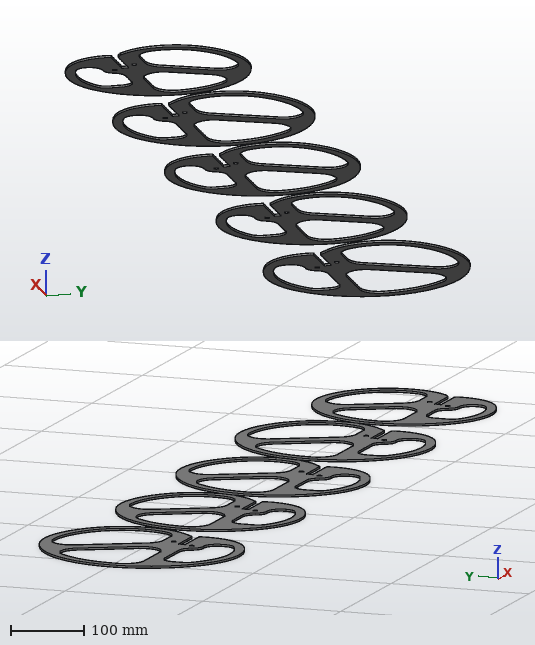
import cadquery as cq
import math

THICKNESS = 3.0
RIM_WIDTH = 14.0
CORNER_RADIUS = 28.0
BELLY_CORNER_RADIUS = 19.0

SLOT_WIDTH = 9.4
SLOT_INNER_X = -4.0
HOLE_DIAMETER = 6.4
HOLE_X = 9.0
HOLE_Y = 16.0
BOSS_RADIUS = 16.0

ARM_WIDTH = 20.0
SPOKE_WIDTH = 23.0
SPOKE_ANGLE = 117.3
CROWN_FLOOR_Y = 33.0
BELLY_RIGHT_X = 14.0

LIP_X = 53.0
LIP_Y = -9.0
MOUTH_X = 50.0
ARC_NORMALS = [5, -60, -130, -250, -320, -400]

CAMS = [
    {"pivot": (-459.0, -45.0), "radii": (78.0, 113.0, 149.0, 122.0, 98.0), "belly_left": -118.0},
    {"pivot": (-207.0, -45.0), "radii": (73.0, 108.0, 137.0, 115.0, 89.0), "belly_left": -99.0},
    {"pivot": (44.0, -46.0), "radii": (74.0, 109.0, 140.0, 118.0, 91.0), "belly_left": -104.0},
    {"pivot": (301.0, -46.0), "radii": (75.0, 112.0, 145.0, 120.0, 95.0), "belly_left": -112.0},
    {"pivot": (545.0, -49.0), "radii": (70.0, 105.0, 133.0, 110.0, 91.0), "belly_left": -91.0},
]

REACH = 251.0


def point_from(origin, radius, angle):
    """Point at a distance and a direction in degrees from an origin."""
    turn = math.radians(angle)
    return (origin[0] + radius * math.cos(turn), origin[1] + radius * math.sin(turn))


def cam_outline(radii):
    """Closed spiral outline, without the slot."""
    start = (LIP_X, LIP_Y)
    outline = cq.Workplane("XY").moveTo(*start)
    for radius, first, last in zip(radii, ARC_NORMALS[:-1], ARC_NORMALS[1:]):
        centre = point_from(start, -radius, first)
        middle = point_from(centre, radius, (first + last) / 2)
        start = point_from(centre, radius, last)
        outline = outline.threePointArc(middle, start)
    return outline.lineTo(MOUTH_X, SLOT_WIDTH / 2).close()


def slab(points):
    """Plate-thick polygon."""
    return cq.Workplane("XY").polyline(points).close().extrude(THICKNESS)


def round_corners(window, radius):
    """Round a window's outward corners by shrinking and regrowing its outline."""
    shrunk = window.faces("<Z").wires().toPending().offset2D(-radius)
    regrown = cq.Workplane("XY").newObject(shrunk.vals()).toPending().offset2D(radius)
    return regrown.extrude(THICKNESS)


def spoke_side_x(y, side):
    """X of the spoke's right (+1) or left (-1) edge at a height above the pivot."""
    slope = math.radians(SPOKE_ANGLE)
    return y / math.tan(slope) + side * SPOKE_WIDTH / 2 / math.sin(slope)


def crown_window(inside):
    """Window to the right of the spoke, above the slot."""
    area = slab([
        (spoke_side_x(CROWN_FLOOR_Y, 1), CROWN_FLOOR_Y),
        (REACH, CROWN_FLOOR_Y),
        (REACH, REACH),
        (spoke_side_x(REACH, 1), REACH),
    ])
    return round_corners(inside.intersect(area), CORNER_RADIUS)


def back_window(inside):
    """Window between the spoke and the arm."""
    floor_y = ARM_WIDTH / 2
    area = slab([
        (spoke_side_x(floor_y, -1), floor_y),
        (spoke_side_x(REACH, -1), REACH),
        (-REACH, REACH),
        (-REACH, floor_y),
    ])
    return round_corners(inside.intersect(area), CORNER_RADIUS)


def belly_window(inside, left_x):
    """Window below the arm, passing round the boss of the lower hole."""
    ceiling_y = -ARM_WIDTH / 2
    boss_bottom_y = -HOLE_Y - BOSS_RADIUS
    area = slab([
        (left_x, ceiling_y),
        (-HOLE_X - BOSS_RADIUS, ceiling_y),
        (-HOLE_X, boss_bottom_y),
        (BELLY_RIGHT_X, boss_bottom_y),
        (BELLY_RIGHT_X, -REACH),
        (left_x, -REACH),
    ])
    boss = cq.Workplane("XY").center(-HOLE_X, -HOLE_Y).circle(BOSS_RADIUS).extrude(THICKNESS)
    return round_corners(inside.intersect(area).cut(boss), BELLY_CORNER_RADIUS)


def slot():
    """Slot open to the right."""
    half = SLOT_WIDTH / 2
    return slab([(SLOT_INNER_X, -half), (REACH, -half), (REACH, half), (SLOT_INNER_X, half)])


def holes():
    """The two through holes on either side of the slot."""
    places = [(HOLE_X, HOLE_Y), (-HOLE_X, -HOLE_Y)]
    return cq.Workplane("XY").pushPoints(places).circle(HOLE_DIAMETER / 2).extrude(THICKNESS)


def cam(pivot, radii, belly_left):
    """One cam plate, placed with its pivot at the given point."""
    plate = cam_outline(radii).extrude(THICKNESS)
    inside = cam_outline(radii).offset2D(-RIM_WIDTH).extrude(THICKNESS)
    plate = plate.cut(crown_window(inside))
    plate = plate.cut(back_window(inside))
    plate = plate.cut(belly_window(inside, belly_left))
    plate = plate.cut(slot()).cut(holes())
    return plate.solids().val().translate(cq.Vector(*pivot, 0))


cams = [cam(**sizes) for sizes in CAMS]
result = cq.Compound.makeCompound(cams)